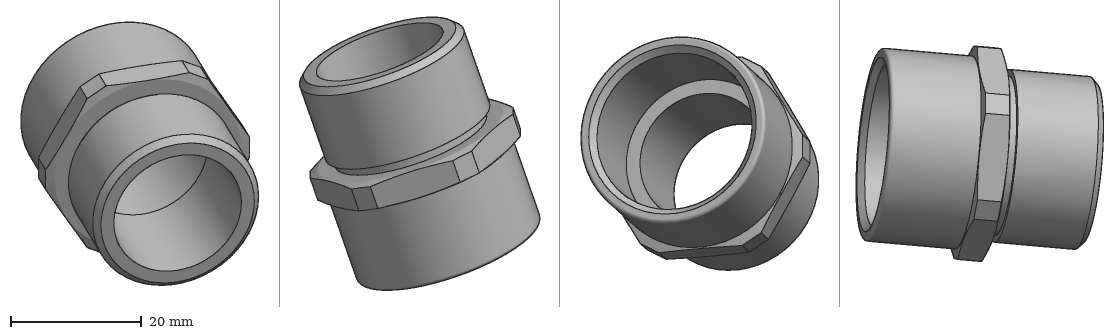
import cadquery as cq
import math


total_length = 33.5
socket_length = 14.0
collar_length = 4.5
neck_length = 1.5
collar_end = socket_length + collar_length
spigot_start = collar_end + neck_length

socket_diameter = 29.6
socket_edge_radius = 0.55
neck_diameter = 24.5
spigot_diameter = 26.53
spigot_chamfer = 1.0

collar_across_flats = 30.0
collar_across_corners = 32.63
collar_face_diameter = 29.8
collar_chamfer_angle = 15.0

bore_diameter = 20.4
socket_bore_diameter = 24.8
socket_bore_depth = 16.0
socket_mouth_chamfer = 1.0


def cylinder(diameter, start, end):
    """Solid cylinder about the X axis between two X positions."""
    return cq.Workplane("YZ", origin=(start, 0, 0)).circle(diameter / 2).extrude(end - start)


def turned(profile):
    """Solid of revolution about the X axis from (x, radius) points."""
    return cq.Workplane("XY").polyline(profile).close().revolve(360, (0, 0, 0), (1, 0, 0))


def hexagon(across_flats, first_corner_angle):
    """Hexagonal prism over the collar length; the corner angle is measured from +Y."""
    corner_diameter = across_flats / math.cos(math.pi / 6)
    return (
        cq.Workplane("YZ", origin=(socket_length, 0, 0))
        .transformed(rotate=(0, 0, first_corner_angle))
        .polygon(6, corner_diameter)
        .extrude(collar_length)
    )


def make_collar():
    """Hexagon with flattened corners, bevelled by a shallow cone on both sides."""
    face_radius = collar_face_diameter / 2
    rim_radius = collar_across_flats / math.sqrt(3)
    bevel = (rim_radius - face_radius) * math.tan(math.radians(collar_chamfer_angle))
    bevel_envelope = turned([
        (socket_length, 0),
        (socket_length, face_radius),
        (socket_length + bevel, rim_radius),
        (collar_end - bevel, rim_radius),
        (collar_end, face_radius),
        (collar_end, 0),
    ])
    main_hexagon = hexagon(collar_across_flats, 0)
    corner_hexagon = hexagon(collar_across_corners, 30)
    return main_hexagon.intersect(corner_hexagon).intersect(bevel_envelope)


def make_cavity():
    """Through bore, widened at the socket end with a conical mouth."""
    bore_radius = bore_diameter / 2
    socket_bore_radius = socket_bore_diameter / 2
    return turned([
        (0, 0),
        (0, socket_bore_radius + socket_mouth_chamfer),
        (socket_mouth_chamfer, socket_bore_radius),
        (socket_bore_depth, socket_bore_radius),
        (socket_bore_depth, bore_radius),
        (total_length, bore_radius),
        (total_length, 0),
    ])


socket = cylinder(socket_diameter, 0, socket_length).faces("<X").edges().fillet(socket_edge_radius)
neck = cylinder(neck_diameter, collar_end, spigot_start)
spigot = cylinder(spigot_diameter, spigot_start, total_length).faces(">X").edges().chamfer(spigot_chamfer)

result = socket.union(make_collar()).union(neck).union(spigot).cut(make_cavity())